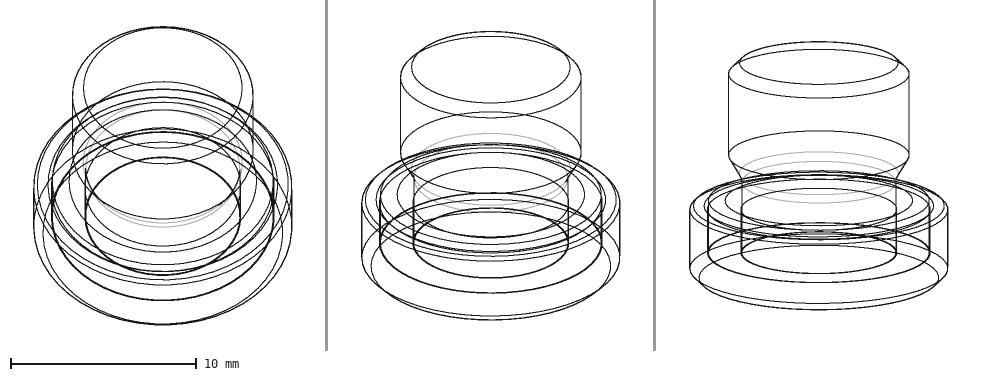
import cadquery as cq
import math

housing_diameter = 13.9
housing_height = 4.0
housing_bottom_chamfer = 0.5
housing_top_chamfer = 0.2
groove_diameter = 12.0
groove_floor = 1.39
groove_mouth_chamfer = 0.18

total_height = 12.0
head_diameter = 9.73
head_chamfer = 0.6
head_bottom = 6.84
neck_diameter = 8.3
flare_angle = 30.0
neck_blend_radius = 1.0

ring_outer_diameter = 11.9
ring_bore_diameter = 8.4
ring_top = 4.31
funnel_diameter = 10.09
funnel_slope = 30.0


def make_cup():
    """Chamfered disc with a round recess open at the top."""
    disc = cq.Workplane("XY").circle(housing_diameter / 2).extrude(housing_height)
    disc = disc.faces("<Z").chamfer(housing_bottom_chamfer)
    disc = disc.faces(">Z").chamfer(housing_top_chamfer)
    recess = (
        cq.Workplane("XY")
        .workplane(offset=groove_floor)
        .circle(groove_diameter / 2)
        .extrude(housing_height - groove_floor)
    )
    cup = disc.cut(recess)
    mouth_edge = cq.selectors.RadiusNthSelector(0)
    return cup.faces(">Z").edges(mouth_edge).chamfer(groove_mouth_chamfer)


def make_stud():
    """Revolved stud, with an arc blending the neck into the flare."""
    neck_radius = neck_diameter / 2
    head_radius = head_diameter / 2
    flare = math.radians(flare_angle)
    flare_start = head_bottom - (head_radius - neck_radius) / math.tan(flare)
    tangent_length = neck_blend_radius * math.tan(flare / 2)
    blend_center_x = neck_radius + neck_blend_radius
    blend_bottom = flare_start - tangent_length

    def blend_point(angle):
        return (
            blend_center_x - neck_blend_radius * math.cos(angle),
            blend_bottom + neck_blend_radius * math.sin(angle),
        )

    return (
        cq.Workplane("XZ")
        .moveTo(0, groove_floor)
        .lineTo(neck_radius, groove_floor)
        .lineTo(neck_radius, blend_bottom)
        .threePointArc(blend_point(flare / 2), blend_point(flare))
        .lineTo(head_radius, head_bottom)
        .lineTo(head_radius, total_height - head_chamfer)
        .lineTo(head_radius - head_chamfer, total_height)
        .lineTo(0, total_height)
        .close()
        .revolve(360, (0, 0), (0, 1))
    )


def make_housing():
    """Cup and stud as one solid."""
    return make_cup().union(make_stud())


def make_ring():
    """Revolved ring whose bore opens into a shallow funnel at the top."""
    bore_radius = ring_bore_diameter / 2
    outer_radius = ring_outer_diameter / 2
    funnel_radius = funnel_diameter / 2
    funnel_depth = (funnel_radius - bore_radius) * math.tan(math.radians(funnel_slope))
    return (
        cq.Workplane("XZ")
        .moveTo(bore_radius, groove_floor)
        .lineTo(outer_radius, groove_floor)
        .lineTo(outer_radius, ring_top)
        .lineTo(funnel_radius, ring_top)
        .lineTo(bore_radius, ring_top - funnel_depth)
        .close()
        .revolve(360, (0, 0), (0, 1))
    )


housing = make_housing()
ring = make_ring()
result = cq.Compound.makeCompound([housing.val(), ring.val()])